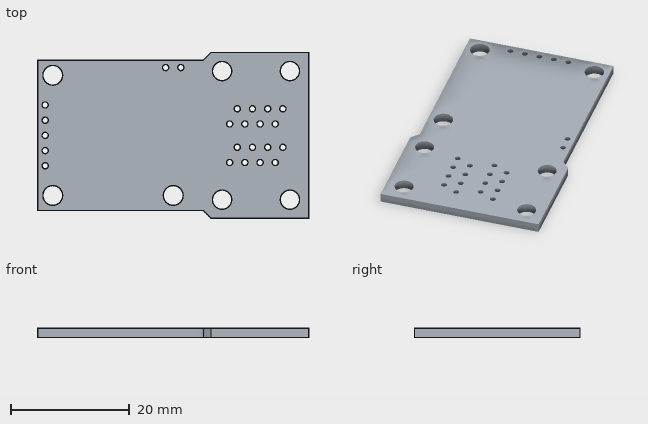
import cadquery as cq

length = 45.7
head_width = 27.95
thickness = 1.6
flare = 1.3
narrow_length = 27.95
narrow_half_width = head_width / 2 - flare
head_half_width = head_width / 2

narrow_mount_diameter = 3.3
narrow_mount_inset = 2.55
narrow_mount_x = 22.85
head_mount_diameter = 3.2
head_mount_x = (31.1, 42.5)
head_mount_y = 10.85

pin_diameter = 1.0
pin_pitch = 2.55
end_row_x = 1.3
end_row_count = 5
side_row_x = 21.6
side_row_y = 11.45
side_row_count = 2

connector_count = 4
connector_x = 32.35
connector_y = (-4.55, 1.9)
stagger = pin_pitch / 2


def row(start_x, y, count):
    """Points of a pin row running along +X."""
    return [(start_x + i * pin_pitch, y) for i in range(count)]


def drill(board, points, diameter):
    """Cut through holes at the given points."""
    cutters = cq.Workplane("XY").pushPoints(points).circle(diameter / 2).extrude(thickness)
    return board.cut(cutters)


board = (
    cq.Workplane("XY")
    .moveTo(0, -narrow_half_width)
    .lineTo(narrow_length, -narrow_half_width)
    .lineTo(narrow_length + flare, -head_half_width)
    .lineTo(length, -head_half_width)
    .lineTo(length, head_half_width)
    .lineTo(narrow_length + flare, head_half_width)
    .lineTo(narrow_length, narrow_half_width)
    .lineTo(0, narrow_half_width)
    .close()
    .extrude(thickness)
)

narrow_mount_y = narrow_half_width - narrow_mount_inset
narrow_mounts = [
    (narrow_mount_inset, narrow_mount_y),
    (narrow_mount_inset, -narrow_mount_y),
    (narrow_mount_x, -narrow_mount_y),
]
head_mounts = [(x, side * head_mount_y) for x in head_mount_x for side in (-1, 1)]

end_row_offset = (end_row_count - 1) / 2
pins = [(end_row_x, (i - end_row_offset) * pin_pitch) for i in range(end_row_count)]
pins += row(side_row_x, side_row_y, side_row_count)
for lower_y in connector_y:
    pins += row(connector_x, lower_y, connector_count)
    pins += row(connector_x + stagger, lower_y + pin_pitch, connector_count)

board = drill(board, narrow_mounts, narrow_mount_diameter)
board = drill(board, head_mounts, head_mount_diameter)
result = drill(board, pins, pin_diameter)